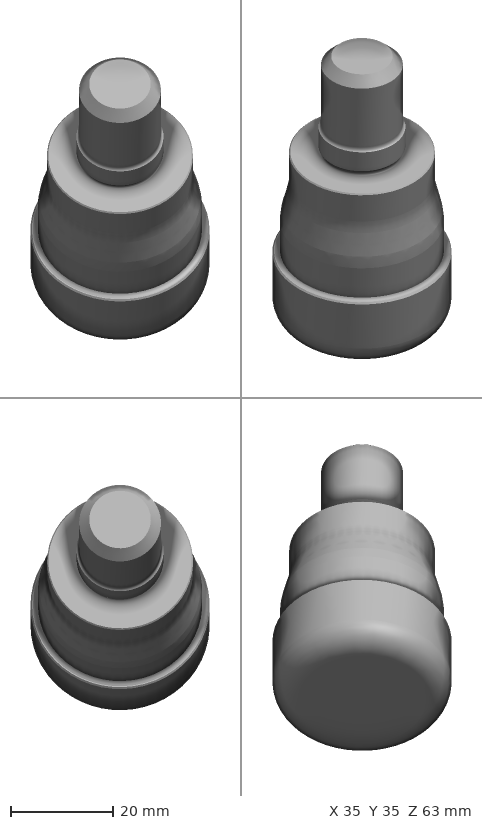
import cadquery as cq
import math

total_height = 63.0

cap_radius = 17.5
cap_bottom_fillet = 5.0
cap_rim_height = 16.0
cap_rim_chamfer = 0.3
rim_land_width = 0.2
rim_cone_rise = 0.3
recess_floor_height = cap_bottom_fillet

base_radius = 16.05
shoulder_radius = 14.25
shoulder_height = 40.0
shoulder_chamfer = 0.25
cone_bottom_height = 24.7
cone_top_height = 32.1
cone_blend_radius = 11.0

stud_radius = 8.0
stud_tip_chamfer = 2.0
collar_radius = 8.5
collar_blend_start = 46.8
collar_blend_radius = 1.0
neck_radius = 7.85
neck_fillet = 0.4
neck_length = 0.15
collar_underside_angle = math.radians(45)


def revolve_profile(profile):
    """Turn a closed radius-height profile once around the Z axis."""
    return profile.close().revolve(360, (0, 0, 0), (0, 1, 0))


def make_cap():
    rim_radius = cap_radius - cap_rim_chamfer
    fillet_start = cap_radius - cap_bottom_fillet
    profile = (
        cq.Workplane("XZ")
        .lineTo(fillet_start, 0)
        .radiusArc((cap_radius, cap_bottom_fillet), -cap_bottom_fillet)
        .lineTo(cap_radius, cap_rim_height - cap_rim_chamfer)
        .lineTo(rim_radius, cap_rim_height)
        .lineTo(rim_radius - rim_land_width, cap_rim_height)
        .lineTo(base_radius, cap_rim_height + rim_cone_rise)
        .lineTo(base_radius, recess_floor_height)
        .lineTo(0, recess_floor_height)
    )
    return revolve_profile(profile)


def make_plug():
    cone_angle = math.atan2(base_radius - shoulder_radius, cone_top_height - cone_bottom_height)
    tangent_length = cone_blend_radius * math.tan(cone_angle / 2)
    tangent_in = tangent_length * math.sin(cone_angle)
    tangent_up = tangent_length * math.cos(cone_angle)

    neck_bottom = shoulder_height + neck_fillet
    neck_top = neck_bottom + neck_length
    underside_radius = neck_radius + neck_fillet * (1 - math.cos(collar_underside_angle))
    underside_height = neck_top + neck_fillet * math.sin(collar_underside_angle)
    collar_bottom = underside_height + (collar_radius - underside_radius) * math.tan(collar_underside_angle)

    collar_step = collar_radius - stud_radius
    collar_blend_height = math.sqrt(collar_blend_radius**2 - (collar_blend_radius - collar_step) ** 2)
    collar_top = collar_blend_start - collar_blend_height

    profile = (
        cq.Workplane("XZ")
        .moveTo(0, recess_floor_height)
        .lineTo(base_radius, recess_floor_height)
        .lineTo(base_radius, cone_bottom_height - tangent_length)
        .radiusArc((base_radius - tangent_in, cone_bottom_height + tangent_up), -cone_blend_radius)
        .lineTo(shoulder_radius + tangent_in, cone_top_height - tangent_up)
        .radiusArc((shoulder_radius, cone_top_height + tangent_length), cone_blend_radius)
        .lineTo(shoulder_radius, shoulder_height - shoulder_chamfer)
        .lineTo(shoulder_radius - shoulder_chamfer, shoulder_height)
        .lineTo(neck_radius + neck_fillet, shoulder_height)
        .radiusArc((neck_radius, neck_bottom), neck_fillet)
        .lineTo(neck_radius, neck_top)
        .radiusArc((underside_radius, underside_height), neck_fillet)
        .lineTo(collar_radius, collar_bottom)
        .lineTo(collar_radius, collar_top)
        .radiusArc((stud_radius, collar_blend_start), collar_blend_radius)
        .lineTo(stud_radius, total_height - stud_tip_chamfer)
        .lineTo(stud_radius - stud_tip_chamfer, total_height)
        .lineTo(0, total_height)
    )
    return revolve_profile(profile)


cap = make_cap()
plug = make_plug()
result = cq.Compound.makeCompound([cap.val(), plug.val()])